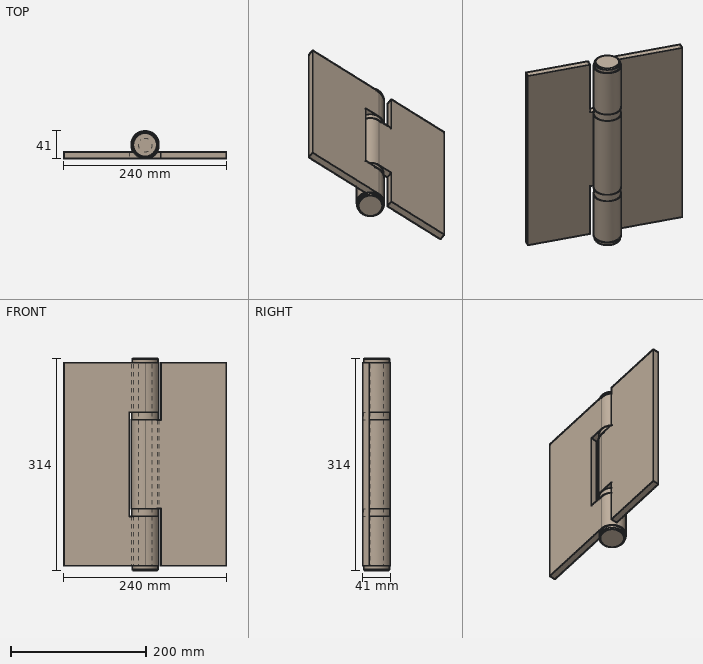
import cadquery as cq

LEAF_HEIGHT = 300.2
LEAF_REACH = 120.0
LEAF_THICKNESS = 10.0
CENTER_KNUCKLE_LENGTH = 131.0
NOTCH_REACH = 23.2

KNUCKLE_DIAMETER = 41.0
KNUCKLE_RADIUS = KNUCKLE_DIAMETER / 2
WASHER_DIAMETER = 40.0
WASHER_THICKNESS = 11.3

PIN_LENGTH = 314.0
SHAFT_DIAMETER = 20.0
HEAD_DIAMETER = 38.3
HEAD_CHAMFER = 2.0
HEAD_HEIGHT = (PIN_LENGTH - LEAF_HEIGHT) / 2

LEAF_TOP = LEAF_HEIGHT / 2
CENTER_KNUCKLE_TOP = CENTER_KNUCKLE_LENGTH / 2
END_KNUCKLE_BOTTOM = CENTER_KNUCKLE_TOP + WASHER_THICKNESS
END_KNUCKLE_LENGTH = LEAF_TOP - END_KNUCKLE_BOTTOM


def cylinder(diameter, bottom, height):
    """Solid cylinder on the hinge axis."""
    return cq.Workplane("XY").workplane(offset=bottom).circle(diameter / 2).extrude(height)


def plate(x_start, x_end, bottom, height):
    """Flat slab whose front face is tangent to the knuckles."""
    return cq.Workplane("XY").box(x_end - x_start, LEAF_THICKNESS, height, centered=False).translate(
        (x_start, -KNUCKLE_RADIUS, bottom)
    )


def leaf_segment(side, bottom, height):
    """Knuckle with the strip of plate running into it; side is -1 for left, +1 for right."""
    x_start, x_end = sorted((0, side * LEAF_REACH))
    return plate(x_start, x_end, bottom, height).union(cylinder(KNUCKLE_DIAMETER, bottom, height))


def pin_bore():
    """Cylinder that clears the shaft through a whole leaf."""
    return cylinder(SHAFT_DIAMETER, -LEAF_TOP, LEAF_HEIGHT)


def make_left_leaf():
    """Leaf with a knuckle at each end and a notch between them."""
    leaf = plate(-LEAF_REACH, -NOTCH_REACH, -LEAF_TOP, LEAF_HEIGHT)
    for bottom in (-LEAF_TOP, END_KNUCKLE_BOTTOM):
        leaf = leaf.union(leaf_segment(-1, bottom, END_KNUCKLE_LENGTH))
    return leaf.cut(pin_bore())


def make_right_leaf():
    """Leaf with one knuckle at mid height."""
    leaf = plate(NOTCH_REACH, LEAF_REACH, -LEAF_TOP, LEAF_HEIGHT)
    leaf = leaf.union(leaf_segment(1, -CENTER_KNUCKLE_TOP, CENTER_KNUCKLE_LENGTH))
    return leaf.cut(pin_bore())


def make_washer(bottom):
    """Spacer ring between two neighbouring knuckles."""
    ring = cylinder(WASHER_DIAMETER, bottom, WASHER_THICKNESS)
    return ring.cut(cylinder(SHAFT_DIAMETER, bottom, WASHER_THICKNESS))


def make_pin():
    """Shaft with a chamfered head on each end of the barrel."""
    pin = cylinder(SHAFT_DIAMETER, -LEAF_TOP, LEAF_HEIGHT)
    top_head = cylinder(HEAD_DIAMETER, LEAF_TOP, HEAD_HEIGHT).faces(">Z").edges().chamfer(HEAD_CHAMFER)
    return pin.union(top_head).union(top_head.mirror("XY"))


left_leaf = make_left_leaf()
right_leaf = make_right_leaf()
washers = [make_washer(bottom) for bottom in (-END_KNUCKLE_BOTTOM, CENTER_KNUCKLE_TOP)]
pin = make_pin()

result = cq.Compound.makeCompound(
    [left_leaf.val(), right_leaf.val(), *[washer.val() for washer in washers], pin.val()]
)